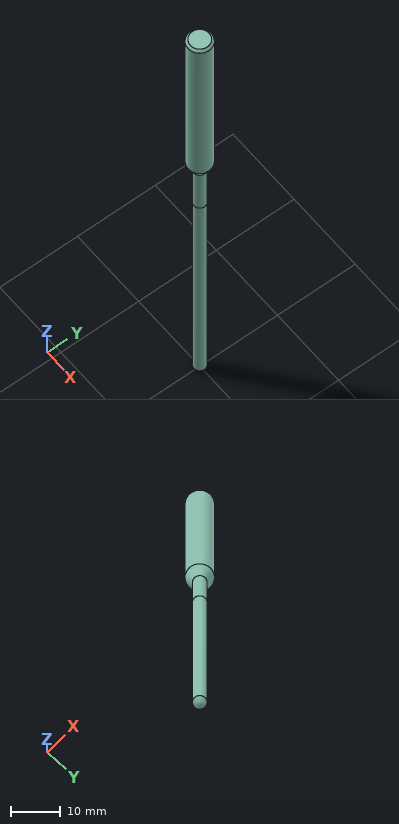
import cadquery as cq
import math


shank_diameter = 6.0
shank_length = 45.0
shank_chamfer = 0.6
drill_diameter = 3.0
taper_height = 2.9
point_angle = 140.0
cutting_length = 60.0
holder_length = 60.0

shank_radius = shank_diameter / 2
drill_radius = drill_diameter / 2
point_height = drill_radius / math.tan(math.radians(point_angle / 2))

joint_z = point_height + cutting_length
top_z = joint_z + holder_length
shank_bottom_z = top_z - shank_length
neck_top_z = shank_bottom_z - taper_height


def revolve_about_z(profile):
    """Turn a list of (radius, height) points, drawn on the -Y side, around the Z axis."""
    points = [(-radius, height) for radius, height in profile]
    return cq.Workplane("YZ").polyline(points).close().revolve(360, (0, 0, 0), (0, 1, 0))


def make_cutting_part():
    return revolve_about_z([
        (0, 0),
        (drill_radius, point_height),
        (drill_radius, joint_z),
        (0, joint_z),
    ])


def make_holder():
    return revolve_about_z([
        (0, joint_z),
        (drill_radius, joint_z),
        (drill_radius, neck_top_z),
        (shank_radius, shank_bottom_z),
        (shank_radius, top_z - shank_chamfer),
        (shank_radius - shank_chamfer, top_z),
        (0, top_z),
    ])


cutting_part = make_cutting_part()
holder = make_holder()

result = cq.Compound.makeCompound([cutting_part.val(), holder.val()])